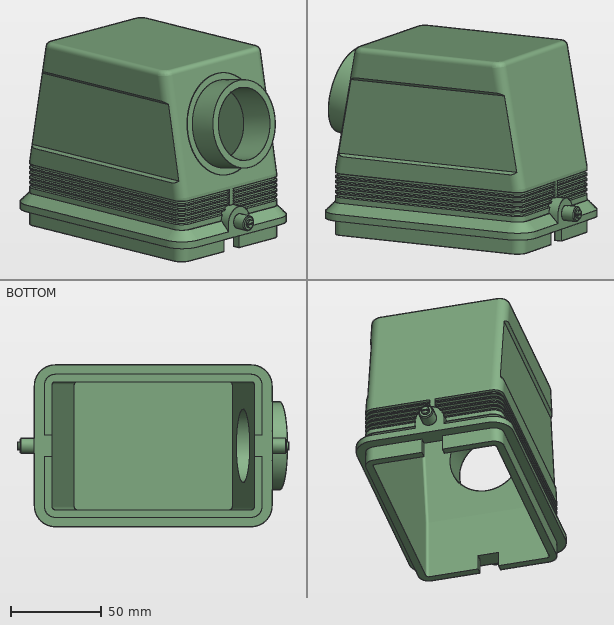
import cadquery as cq
import math

body_length = 120.7
body_width = 79.5
body_height = 107.0
straight_height = 36.5
lean_angle = 10.5
corner_radius = 5.9
top_radius = 3.0
wall = 4.2

flange_length = 132.1
flange_width = 90.0
flange_corner_radius = 11.7
flange_chamfer = 5.3
flange_bottom = 9.0
flange_top = 18.2

recess_depth = 1.5
recess_bottom = 44.7
recess_top = 90.1

groove_count = 5
groove_pitch = 2.9
first_groove_height = 22.4
groove_depth = 1.2
groove_mouth = 2.1
groove_floor = 1.2

boss_radius = 8.3
pin_height = 17.6
pin_radius = 4.2
pin_length = 7.8
pin_chamfer = 0.6
stub_radius = 2.3
slot_width = 0.6
overall_length = 150.5
rib_width = 3.0
rib_top = 35.4

notch_width = 11.7

outlet_radius = 24.5
outlet_bore_radius = 20.3
outlet_face_x = 70.1
outlet_face_height = 74.2
pad_radius = 28.5
pad_thickness = 0.3

tilt = math.radians(lean_angle)
lean = math.tan(tilt)
wall_x_at_outlet = body_length / 2 - (outlet_face_height - straight_height) * lean
outlet_wall_distance = (outlet_face_x - wall_x_at_outlet) * math.cos(tilt)

wall_overlap = wall / 2


def rounded_block(length, width, radius, bottom, height):
    block = cq.Workplane("XY").workplane(offset=bottom).rect(length, width).extrude(height)
    return block.edges("|Z").fillet(radius)


def leaning_hood(inset):
    """Solid bounded by the hood walls, moved inward by the inset."""
    half_length = body_length / 2 - inset
    half_width = body_width / 2 - inset
    top = body_height - inset
    top_half_length = half_length - (top - straight_height) * lean
    hood = (
        cq.Workplane("XZ")
        .moveTo(-half_length, 0)
        .lineTo(half_length, 0)
        .lineTo(half_length, straight_height)
        .lineTo(top_half_length, top)
        .lineTo(-top_half_length, top)
        .lineTo(-half_length, straight_height)
        .close()
        .extrude(half_width, both=True)
    )
    return hood.edges("not(|X or |Y)").fillet(corner_radius - inset)


def panel_recess(side):
    """Recess with 45 degree upper and lower borders, running the full length."""
    face = side * body_width / 2
    floor = face - side * recess_depth
    return (
        cq.Workplane("YZ")
        .moveTo(face, recess_bottom)
        .lineTo(floor, recess_bottom + recess_depth)
        .lineTo(floor, recess_top - recess_depth)
        .lineTo(face, recess_top)
        .close()
        .extrude(body_length / 2, both=True)
    )


def skirt_groove(centre):
    """Ring around the skirt whose section narrows towards the groove floor."""
    flank_height = (groove_mouth - groove_floor) / 2
    flank_taper = math.degrees(math.atan(groove_depth / flank_height))
    bottom = centre - groove_mouth / 2
    outline = cq.Sketch().rect(body_length, body_width).vertices().fillet(corner_radius)
    lower_flank = (
        cq.Workplane("XY")
        .workplane(offset=bottom)
        .placeSketch(outline)
        .extrude(flank_height, taper=flank_taper)
    )
    upper_flank = lower_flank.mirror("XY", (0, 0, centre))
    core = rounded_block(
        body_length - 2 * groove_depth,
        body_width - 2 * groove_depth,
        corner_radius - groove_depth,
        bottom,
        groove_mouth,
    )
    ring = rounded_block(
        body_length + 2 * groove_depth, body_width + 2 * groove_depth, corner_radius, bottom, groove_mouth
    )
    return ring.cut(core).cut(lower_flank).cut(upper_flank)


def flange():
    block = rounded_block(
        flange_length, flange_width, flange_corner_radius, flange_bottom, flange_top - flange_bottom
    )
    return block.faces(">Z").chamfer(flange_chamfer)


def locking_pin():
    """Boss, rib and slotted pin of the +X end."""
    boss_face = flange_length / 2
    inner_face = body_length / 2 - wall_overlap
    end_plane = cq.Workplane("YZ").workplane(offset=inner_face)
    depth = boss_face - inner_face
    boss = end_plane.center(0, pin_height).circle(boss_radius).extrude(depth)
    web_height = pin_height - flange_bottom
    web = end_plane.center(0, flange_bottom + web_height / 2).rect(2 * boss_radius, web_height).extrude(depth)
    rib_height = rib_top - pin_height
    rib = (
        end_plane.center(0, pin_height + rib_height / 2)
        .rect(rib_width, rib_height)
        .extrude(body_length / 2 - inner_face)
    )
    boss_plane = cq.Workplane("YZ", origin=(boss_face, 0, pin_height))
    pin = boss_plane.circle(pin_radius).extrude(pin_length).faces(">X").chamfer(pin_chamfer)
    stub_length = overall_length / 2 - boss_face - pin_length
    stub_plane = boss_plane.workplane(offset=pin_length)
    slot = stub_plane.rect(2 * stub_radius, slot_width).extrude(stub_length)
    stub = stub_plane.circle(stub_radius).extrude(stub_length).cut(slot)
    return boss.union(web).union(rib).union(pin).union(stub)


def outlet_cylinder(radius, start, end):
    """Cylinder on the outlet axis, between two distances inward from the outlet face."""
    axis = cq.Vector(math.cos(tilt), 0, math.sin(tilt))
    face_centre = cq.Vector(outlet_face_x, 0, outlet_face_height)
    return cq.Workplane(cq.Solid.makeCylinder(radius, end - start, face_centre - axis * end, axis))


hood = leaning_hood(0)
hood = hood.faces(">Z").edges().fillet(top_radius)
for side in (-1, 1):
    hood = hood.cut(panel_recess(side))
for index in range(groove_count):
    hood = hood.cut(skirt_groove(first_groove_height + index * groove_pitch))

hood = hood.union(flange())
pin = locking_pin()
hood = hood.union(pin).union(pin.mirror("YZ"))

hood = hood.union(outlet_cylinder(outlet_radius, 0, outlet_wall_distance + wall_overlap))
hood = hood.union(
    outlet_cylinder(pad_radius, outlet_wall_distance - pad_thickness, outlet_wall_distance + wall_overlap)
)

hood = hood.cut(leaning_hood(wall))
hood = hood.cut(outlet_cylinder(outlet_bore_radius, 0, outlet_wall_distance + 2 * wall))
notch = cq.Workplane("XY").box(body_length, notch_width, flange_bottom, centered=(True, True, False))
result = hood.cut(notch)